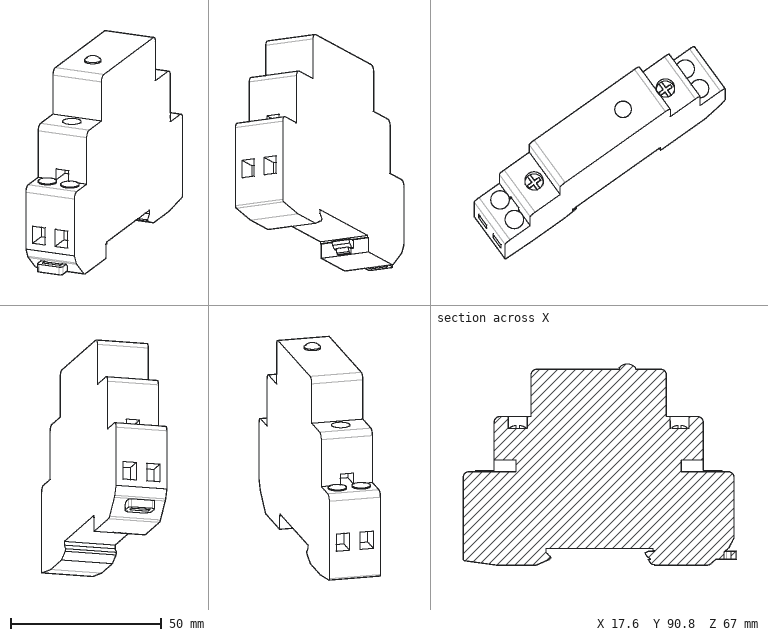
import cadquery as cq
import math

width = 17.6
base_half, base_top = 45.0, 31.1
middle_half, middle_top = 34.8, 49.5
crown_half, crown_top = 22.5, 65.2
edge_radius = 2.0

recess_top = 5.5
recess_front = -18.0
foot_back = -18.6
foot_step = 4.9
foot_front = -36.7
slope_break = (-43.3, 5.8)
slope_top = 9.2
hook_wall = 17.4
hook_throat = 4.3
hook_tip = (15.8, 2.6)
hook_nose = (16.4, 1.9)
hook_heel = 20.8
belly_end = 33.8
back_corner = 1.5
back_corner_radius = 0.7

terminal_pitch = 8.2
disc_diameter, disc_height, disc_place = 6.2, 0.4, 37.9
wire_width, wire_height, wire_bottom = 4.5, 6.0, 11.5
notch_width, notch_height = 4.5, 3.8
pocket_depth = 7.3

screw_place = 26.9
screw_diameter, screw_sphere = 6.2, 10.0
screw_depth = 4.0
cross_width, cross_length = 1.1, 4.7

lamp_diameter, lamp_sphere = 5.5, 7.0
lamp_place = -9.5
lamp_top = 67.0

latch_tip = base_half - 90.8
latch_bottom, latch_top = 2.0, 4.7
head_width, head_length = 9.1, 6.4
head_front_radius, head_back_radius = 0.9, 1.8
latch_slot_width, latch_slot_length, latch_slot_radius = 6.4, 2.3, 0.7
latch_slot_wall = 1.8
bar_width = 6.4
catch_tip = (-15.3, 4.2)
catch_knee = (-15.9, 3.1)
catch_top, catch_bottom = -16.6, -17.25
lip_width = 4.5
lip_top, lip_bottom = -16.4, -17.8
lip_knee = (-17.25, 0.6)
lip_base = 0.3


def extrude_profile(points, thickness):
    """Extrude a closed (Y, Z) outline along X, centred on X = 0."""
    return cq.Workplane("YZ").polyline(points).close().extrude(thickness / 2, both=True)


def spherical_cap(rim_diameter, sphere_diameter, rim_z):
    """Cap standing on its rim, with the rim centred on the Z axis."""
    sphere_radius = sphere_diameter / 2
    centre_z = rim_z - math.sqrt(sphere_radius**2 - (rim_diameter / 2) ** 2)
    ball = cq.Workplane("XY").sphere(sphere_radius).translate((0, 0, centre_z))
    column = cq.Workplane("XY").workplane(offset=rim_z).circle(rim_diameter / 2).extrude(sphere_radius)
    return ball.intersect(column)


def cap_height(rim_diameter, sphere_diameter):
    return sphere_diameter / 2 - math.sqrt((sphere_diameter / 2) ** 2 - (rim_diameter / 2) ** 2)


def edges_at(body, y, z):
    """Edges running along X through the point (Y, Z)."""
    reach = 0.045
    box = cq.selectors.BoxSelector((-width, y - reach, z - reach), (width, y + reach, z + reach))
    return body.edges(box)


def housing():
    outline = [
        (-base_half, slope_top), (-base_half, base_top),
        (-middle_half, base_top), (-middle_half, middle_top),
        (-crown_half, middle_top), (-crown_half, crown_top),
        (crown_half, crown_top), (crown_half, middle_top),
        (middle_half, middle_top), (middle_half, base_top),
        (base_half, base_top), (base_half, back_corner),
        (belly_end, 0), (hook_heel, 0), hook_nose, hook_tip,
        (hook_wall, hook_throat), (hook_wall, recess_top),
        (recess_front, recess_top), (recess_front, foot_step),
        (foot_back, foot_step), (foot_back, 0),
        (foot_front, 0), slope_break,
    ]
    body = extrude_profile(outline, width)
    tiers = [(base_half, base_top), (middle_half, middle_top), (crown_half, crown_top)]
    for half, top in tiers:
        for side in (-1, 1):
            body = edges_at(body, side * half, top).fillet(edge_radius)
    body = edges_at(body, foot_front, 0).fillet(edge_radius)
    body = edges_at(body, *slope_break).fillet(edge_radius)
    return edges_at(body, base_half, back_corner).fillet(back_corner_radius)


def pocket(wall_y, x, bottom, pocket_width, pocket_height):
    """Rectangular blind pocket running from a -Y wall into the body."""
    box = cq.Workplane("XY").box(pocket_width, pocket_depth, pocket_height, centered=(True, False, False))
    return box.translate((x, wall_y, bottom))


def screw_recess():
    """Round hole with a domed, cross-slotted screw head left standing at its bottom."""
    floor = middle_top - screw_depth
    head_height = cap_height(screw_diameter, screw_sphere)
    hole = cq.Workplane("XY").workplane(offset=floor).circle(screw_diameter / 2).extrude(screw_depth)
    head = spherical_cap(screw_diameter, screw_sphere, floor)
    for size_x, size_y in ((screw_diameter, cross_width), (cross_width, cross_length)):
        slot = cq.Workplane("XY").box(size_x, size_y, head_height, centered=(True, True, False))
        head = head.cut(slot.translate((0, 0, floor)))
    return hole.cut(head).translate((0, -screw_place, 0))


def disc(x):
    plate = cq.Workplane("XY").workplane(offset=base_top).center(x, -disc_place)
    return plate.circle(disc_diameter / 2).extrude(disc_height)


def add_terminals(body):
    """Cut and add the connection features of the -Y end, then the same at the +Y end."""
    wire_xs = (-terminal_pitch / 2, terminal_pitch / 2)
    cuts = [screw_recess(), pocket(-middle_half, 0, base_top, notch_width, notch_height)]
    cuts += [pocket(-base_half, x, wire_bottom, wire_width, wire_height) for x in wire_xs]
    for turn in (0, 180):
        for tool in cuts:
            body = body.cut(tool.rotate((0, 0, 0), (0, 0, 1), turn))
        for x in wire_xs:
            body = body.union(disc(x).rotate((0, 0, 0), (0, 0, 1), turn))
    return body


def lamp():
    rim_z = lamp_top - cap_height(lamp_diameter, lamp_sphere)
    stem = cq.Workplane("XY").workplane(offset=crown_top).circle(lamp_diameter / 2).extrude(rim_z - crown_top)
    return stem.union(spherical_cap(lamp_diameter, lamp_sphere, rim_z)).translate((0, lamp_place, 0))


def latch():
    """Slotted pull tab in front, joined by a bar to the catch that hooks the rail."""
    thickness = latch_top - latch_bottom
    head = cq.Workplane("XY").box(head_width, head_length, thickness, centered=(True, False, False))
    head = head.edges("|Z and <Y").fillet(head_front_radius)
    head = head.edges("|Z and >Y").fillet(head_back_radius)
    slot = cq.Workplane("XY").box(
        latch_slot_width, latch_slot_length, thickness, centered=(True, False, False)
    )
    slot = slot.edges("|Z and >Y").fillet(latch_slot_radius)
    head = head.cut(slot.translate((0, latch_slot_wall, 0)))
    head = head.translate((0, latch_tip, latch_bottom))

    bar_start = latch_tip + head_length - head_back_radius
    bar = extrude_profile(
        [(bar_start, latch_bottom), (bar_start, latch_top), (catch_top, latch_top),
         catch_tip, catch_knee, (catch_bottom, latch_bottom)],
        bar_width,
    )
    lip = extrude_profile(
        [(foot_back, lip_base), (foot_back, latch_bottom), (lip_top, latch_bottom),
         lip_knee, (lip_bottom, lip_base)],
        lip_width,
    )
    return head.union(bar).union(lip)


result = add_terminals(housing()).union(lamp()).union(latch())